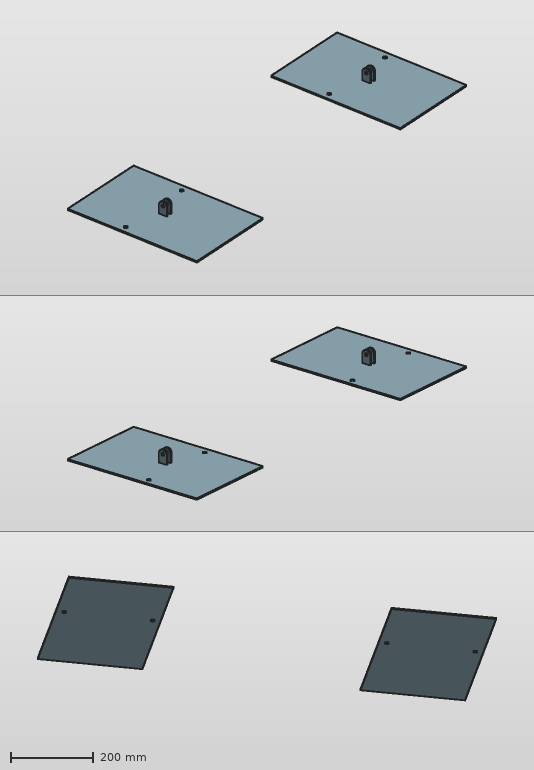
import cadquery as cq

overall_length = 1059.0
overall_height = 41.0

plate_width = 400.0
plate_depth = 259.0
plate_thickness = 4.0
bracket_pitch = overall_length - plate_depth

mount_hole_diameter = 10.0
mount_hole_x = -36.0
mount_hole_spacing = 219.0

lug_width = 24.0
lug_thickness = 5.0
lug_spacing = 15.0
lug_radius = lug_width / 2
lug_hole_diameter = 8.2
lug_hole_z = overall_height - lug_radius


def make_plate():
    """Flat plate with a mounting hole near each long edge."""
    plate = cq.Workplane("XY").box(
        plate_width, plate_depth, plate_thickness, centered=(True, True, False)
    )
    holes = (
        cq.Workplane("XY")
        .center(mount_hole_x, 0)
        .rarray(11, mount_hole_spacing, 1, 2)
        .circle(mount_hole_diameter / 2)
        .extrude(plate_thickness)
    )
    return plate.cut(holes)


def make_lug(center_y):
    """Upright lug with a full-round top and a concentric cross hole."""
    profile_plane = cq.Workplane("XZ", origin=(0, center_y, 0))
    lug = (
        profile_plane
        .moveTo(-lug_radius, plate_thickness)
        .lineTo(lug_radius, plate_thickness)
        .lineTo(lug_radius, lug_hole_z)
        .threePointArc((0, overall_height), (-lug_radius, lug_hole_z))
        .close()
        .extrude(lug_thickness / 2, both=True)
    )
    hole = (
        profile_plane
        .center(0, lug_hole_z)
        .circle(lug_hole_diameter / 2)
        .extrude(lug_thickness, both=True)
    )
    return lug.cut(hole)


def make_bracket(center_y):
    """Plate and its two lugs as one solid, centred on the given Y."""
    bracket = make_plate()
    for side in (-1, 1):
        bracket = bracket.union(make_lug(side * lug_spacing / 2))
    return bracket.translate((0, center_y, 0))


brackets = [make_bracket(side * bracket_pitch / 2) for side in (-1, 1)]

result = cq.Compound.makeCompound([bracket.val() for bracket in brackets])